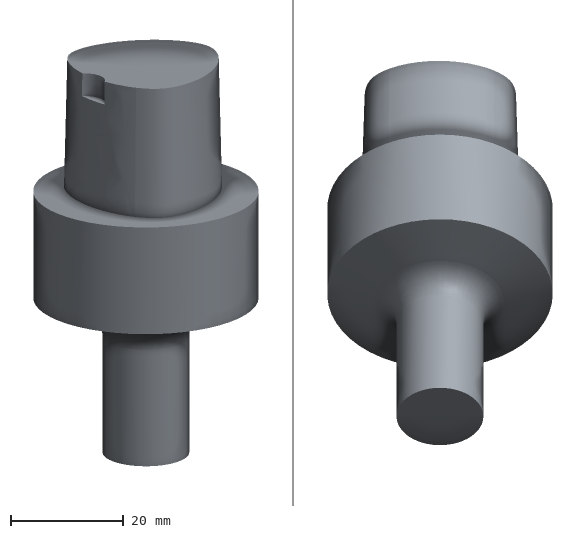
import cadquery as cq
import math

total_height = 73.0
collar_bottom = 29.0
collar_top = 49.0

collar_radius = 40.0 / 2
shank_radius = 15.4 / 2
cone_angle = 15.0
neck_fillet = 5.05

head_base_radius = 14.0
head_top_radius = 13.4
lobe_height = 0.95
segment_angle = 60
points_per_segment = 9

notch_radius = 3.8
notch_center_y = -14.6
notch_depth = 4.2


def make_body():
    """Shank, filleted neck, conical underside and collar as one revolved solid."""
    cone = math.radians(cone_angle)
    turn = math.pi / 2 - cone
    cone_foot = collar_bottom - (collar_radius - shank_radius) * math.tan(cone)
    fillet_center_x = shank_radius + neck_fillet
    fillet_center_z = cone_foot - neck_fillet * math.tan(turn / 2)

    def fillet_point(swept):
        return (
            fillet_center_x - neck_fillet * math.cos(swept),
            fillet_center_z + neck_fillet * math.sin(swept),
        )

    return (
        cq.Workplane("XZ")
        .moveTo(0, 0)
        .lineTo(shank_radius, 0)
        .lineTo(*fillet_point(0))
        .threePointArc(fillet_point(turn / 2), fillet_point(turn))
        .lineTo(collar_radius, collar_bottom)
        .lineTo(collar_radius, collar_top)
        .lineTo(0, collar_top)
        .close()
        .revolve(360, (0, 0), (0, 1))
    )


def lobed_point(mean_radius, normal_angle, z):
    """Point and tangent of a constant-width curve with one lobe on +Y."""
    angle = math.radians(normal_angle)
    phase = 3 * (angle - math.pi / 2)
    reach = mean_radius + lobe_height * math.cos(phase)
    slope = -3 * lobe_height * math.sin(phase)
    point = cq.Vector(
        reach * math.cos(angle) - slope * math.sin(angle),
        reach * math.sin(angle) + slope * math.cos(angle),
        z,
    )
    return point, cq.Vector(-math.sin(angle), math.cos(angle), 0)


def lobed_wire(mean_radius, z):
    """Closed outline of smooth splines, alternating lobes and flat sides."""
    edges = []
    for start in range(0, 360, segment_angle):
        step = segment_angle / (points_per_segment - 1)
        angles = [start + i * step for i in range(points_per_segment)]
        samples = [lobed_point(mean_radius, angle, z) for angle in angles]
        points = [point for point, _ in samples]
        end_tangents = [samples[0][1], samples[-1][1]]
        edges.append(cq.Edge.makeSpline(points, tangents=end_tangents))
    return cq.Wire.assembleEdges(edges)


def make_head():
    """Tapered head between its base and top outlines."""
    base = lobed_wire(head_base_radius, collar_top)
    top = lobed_wire(head_top_radius, total_height)
    return cq.Workplane(cq.Solid.makeLoft([base, top], True))


def make_notch():
    """Vertical cylinder cutter, open through the top of the head."""
    return (
        cq.Workplane("XY", origin=(0, notch_center_y, total_height - notch_depth))
        .circle(notch_radius)
        .extrude(notch_depth)
    )


result = make_body().union(make_head()).cut(make_notch())